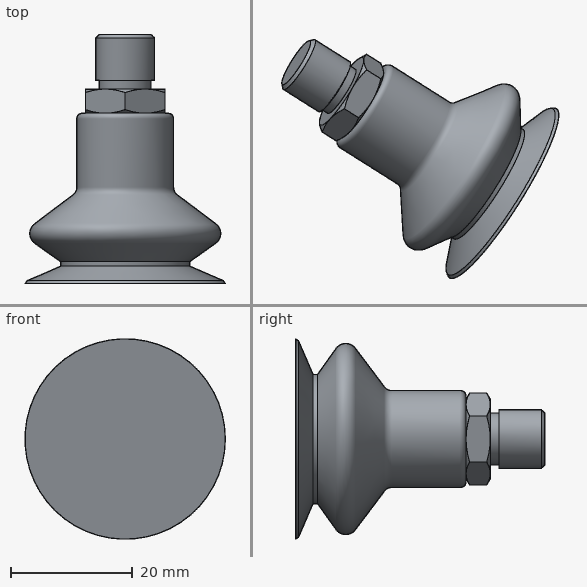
import cadquery as cq
import math

total_length = 41.0

lip_radius = 33.0 / 2
lip_edge_radius = 16.15
lip_edge_height = 0.5
waist_radius = 10.65
waist_start = 2.85
waist_end = 3.6

fold_radius = 15.75
fold_center = 8.25
fold_round = 1.95
fold_slope = 53.0

body_radius = 16.0 / 2
body_end = 28.05
body_round = 0.95
shoulder_round = 1.48

nut_flats = 13.1
nut_length = 3.98
nut_chamfer_angle = 30.0

undercut_radius = 8.55 / 2
undercut_length = 1.45
stem_radius = 9.7 / 2
stem_chamfer = stem_radius - undercut_radius

nut_end = body_end + nut_length
stem_start = nut_end + undercut_length


def revolve_about_y(profile):
    return profile.close().revolve(360, (0, 0, 0), (0, 1, 0))


def make_cup():
    """Lip, bellows fold and cylindrical body as one revolved outline."""
    slope = math.radians(fold_slope)
    arc_half_height = fold_round * math.sin(slope)
    tangent_radius = fold_radius - fold_round * (1 - math.cos(slope))
    shoulder_radius = body_radius + shoulder_round * (1 - math.cos(slope))
    shoulder_start = fold_center + arc_half_height + (tangent_radius - shoulder_radius) / math.tan(slope)
    shoulder_end = shoulder_start + shoulder_round * math.sin(slope)
    shoulder_mid = (
        body_radius + shoulder_round * (1 - math.cos(slope / 2)),
        shoulder_end - shoulder_round * math.sin(slope / 2),
    )
    round_mid = body_round * (1 - math.sqrt(0.5))
    return revolve_about_y(
        cq.Workplane("XY")
        .lineTo(lip_radius, 0)
        .lineTo(lip_edge_radius, lip_edge_height)
        .lineTo(waist_radius, waist_start)
        .lineTo(waist_radius, waist_end)
        .lineTo(tangent_radius, fold_center - arc_half_height)
        .threePointArc((fold_radius, fold_center), (tangent_radius, fold_center + arc_half_height))
        .lineTo(shoulder_radius, shoulder_start)
        .threePointArc(shoulder_mid, (body_radius, shoulder_end))
        .lineTo(body_radius, body_end - body_round)
        .threePointArc(
            (body_radius - round_mid, body_end - round_mid),
            (body_radius - body_round, body_end),
        )
        .lineTo(0, body_end)
    )


def make_nut():
    """Hexagon with corners on the Z axis, its corners chamfered at both ends."""
    corner_radius = nut_flats / 2 / math.cos(math.radians(30))
    corners = [
        (
            corner_radius * math.sin(math.radians(60 * i)),
            corner_radius * math.cos(math.radians(60 * i)),
        )
        for i in range(6)
    ]
    hexagon = (
        cq.Workplane("XZ", origin=(0, body_end, 0))
        .polyline(corners)
        .close()
        .extrude(-nut_length)
    )
    face_radius = nut_flats / 2
    chamfer_height = (corner_radius - face_radius) * math.tan(math.radians(nut_chamfer_angle))
    envelope = revolve_about_y(
        cq.Workplane("XY")
        .moveTo(0, body_end)
        .lineTo(face_radius, body_end)
        .lineTo(corner_radius, body_end + chamfer_height)
        .lineTo(corner_radius, nut_end - chamfer_height)
        .lineTo(face_radius, nut_end)
        .lineTo(0, nut_end)
    )
    return hexagon.intersect(envelope)


def make_stem():
    """Undercut and threaded end with a chamfered tip."""
    return revolve_about_y(
        cq.Workplane("XY")
        .moveTo(0, nut_end)
        .lineTo(undercut_radius, nut_end)
        .lineTo(undercut_radius, stem_start)
        .lineTo(stem_radius, stem_start)
        .lineTo(stem_radius, total_length - stem_chamfer)
        .lineTo(stem_radius - stem_chamfer, total_length)
        .lineTo(0, total_length)
    )


result = make_cup().union(make_nut()).union(make_stem())